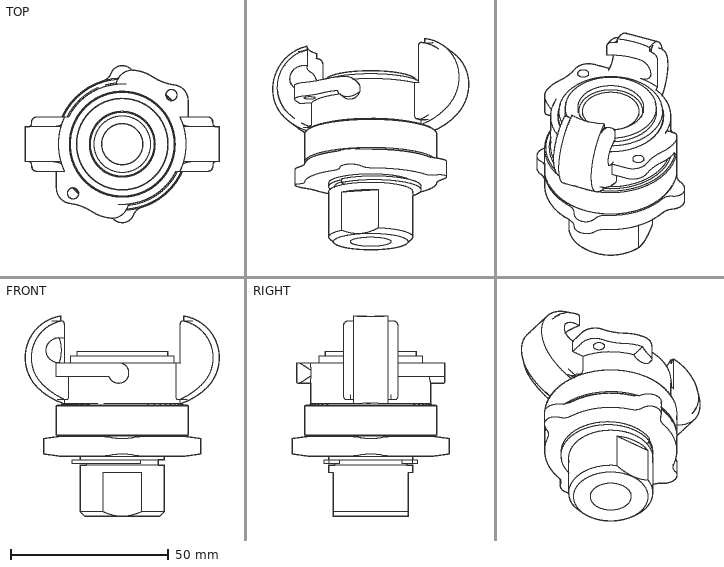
import cadquery as cq
import math


HEIGHT = 63.85
EPS = 0.65

SHANK_R = 13.4
SHANK_CHAMFER = 1.55
SHANK_BORE_R = 6.5
TUBE_BORE_R = 9.0
BORE_CONE_BOTTOM = 19.15
BORE_CONE_TOP = 20.6
SHANK_HEAD_R = 33.0 / 2
SHANK_TOP = 51.1
FLAT_HALF_WIDTH = 11.95
FLAT_TOP = 14.0
GROOVE_R = 11.5
GROOVE_BOTTOM = 16.35
GROOVE_TOP = 18.0

SNAP_RING_R = 14.95
SNAP_RING_OFFSET = -1.15
SNAP_RING_BOTTOM = 16.8
SNAP_RING_OPENING_X = 5.75

NUT_R = 21.1
NUT_BOTTOM = 19.1
NUT_TOP = 25.6
NUT_TIP_R = 25.0
NUT_FACE_R = 19.5
NUT_BEVEL_HEIGHT = 0.75
LOBE_R = 3.8
LOBE_ROOT_R = 4.0
LOBE_COUNT = 4

COLLAR_R = 21.1
COLLAR_TOP = 35.5
COLLAR_CHAMFER = 0.4
BODY_R = 19.15
BODY_ROOT_ROUND = 0.45
BODY_TOP = 48.9
SHOULDER_Z = 44.5
BORE_R = 33.25 / 2
BORE_CHAMFER = 0.25

EAR_SIDE_X = 21.0
EAR_CORNER_Y = 13.9
EAR_CORNER_END = (16.6, 18.9)
EAR_WAVE_MIDDLE = (9.7, 21.45)
EAR_PEAK = (3.8, 23.55)
EAR_NOSE_CENTRE = (3.3, 18.2)
EAR_NOSE_R = 5.35
EAR_BOTTOM = 44.5
KNOB_BOTTOM = 42.4
KNOB_CENTRE_X = 1.15
EAR_HOLE_R = 3.5 / 2
EAR_HOLE_XY = 15.65

CLAW_REACH = 61.9 / 2
CLAW_ARC_R = 13.5
CLAW_TOP_X = 19.15
CLAW_LOWER_ANGLE = 45.0
CLAW_FOOT_X = 18.5
CLAW_FOOT_Z = 35.9
CLAW_INNER_R = 20.3
BAND_HALF_WIDTH = 5.55
RIB_HALF_WIDTH = 17.4 / 2
BAND_CORNER_X = math.sqrt(CLAW_INNER_R**2 - BAND_HALF_WIDTH**2)
CLAW_ARC_Z = HEIGHT - math.sqrt(CLAW_ARC_R**2 - (BAND_CORNER_X - CLAW_REACH + CLAW_ARC_R) ** 2)
RIB_REACH = 28.9
RIB_ARC_R = 11.95
RIB_FOOT_Z = 37.3
RIB_ROUND = 1.8
RIB_ROOT_ROUND = 0.95

CLAW_GROOVE_R = 3.95
CLAW_GROOVE_CENTRE_R = 21.85
CLAW_GROOVE_END_ANGLE = 6.0
CLAW_GROOVE_SWEEP = 50.0

SEAL_INNER_R = 21.0 / 2
SEAL_OUTER_R = 29.0 / 2
SEAL_BOTTOM = 47.9
SEAL_TOP = 52.55
SEAL_SEAT_INNER_R = 10.15
SEAL_SEAT_OUTER_R = 14.6


def disc(radius, bottom, top):
    """Cylinder about Z between two heights."""
    return cq.Workplane("XY").workplane(offset=bottom).circle(radius).extrude(top - bottom)


def ring(inner_radius, outer_radius, bottom, top):
    """Ring about Z between two heights."""
    return disc(outer_radius, bottom, top).cut(disc(inner_radius, bottom, top))


def half_turn(shape):
    """Copy turned 180 degrees about Z."""
    return shape.rotate((0, 0, 0), (0, 0, 1), 180)


def make_shank():
    shank = (
        cq.Workplane("XZ")
        .moveTo(SHANK_BORE_R, 0)
        .lineTo(SHANK_R - SHANK_CHAMFER, 0)
        .lineTo(SHANK_R, SHANK_CHAMFER)
        .lineTo(SHANK_R, GROOVE_BOTTOM)
        .lineTo(GROOVE_R, GROOVE_BOTTOM)
        .lineTo(GROOVE_R, GROOVE_TOP)
        .lineTo(SHANK_R, GROOVE_TOP)
        .lineTo(SHANK_R, SHOULDER_Z)
        .lineTo(SHANK_HEAD_R, SHOULDER_Z)
        .lineTo(SHANK_HEAD_R, SHANK_TOP)
        .lineTo(TUBE_BORE_R, SHANK_TOP)
        .lineTo(TUBE_BORE_R, BORE_CONE_TOP)
        .lineTo(SHANK_BORE_R, BORE_CONE_BOTTOM)
        .close()
        .revolve()
    )
    between_flats = cq.Workplane("XY").rect(4 * SHANK_R, 2 * FLAT_HALF_WIDTH).extrude(FLAT_TOP)
    shank = shank.cut(disc(2 * SHANK_R, 0, FLAT_TOP).cut(between_flats))
    return shank.cut(ring(SEAL_SEAT_INNER_R, SEAL_SEAT_OUTER_R, SEAL_BOTTOM, SHANK_TOP))


def make_snap_ring():
    snap_ring = disc(SNAP_RING_R, SNAP_RING_BOTTOM, GROOVE_TOP).translate((SNAP_RING_OFFSET, 0, 0))
    opening = (
        cq.Workplane("XY")
        .workplane(offset=SNAP_RING_BOTTOM)
        .moveTo(SNAP_RING_OPENING_X + SNAP_RING_R, 0)
        .rect(2 * SNAP_RING_R, 2 * SNAP_RING_R)
        .extrude(GROOVE_TOP - SNAP_RING_BOTTOM)
    )
    return snap_ring.cut(disc(GROOVE_R, SNAP_RING_BOTTOM, GROOVE_TOP)).cut(opening)


def make_nut_lobe():
    """Lobe pointing to +X: a round tip, joined to the rim by a hollow round on each side."""
    tip_centre = NUT_TIP_R - LOBE_R
    root_distance = NUT_R + LOBE_ROOT_R
    root_x = (root_distance**2 + tip_centre**2 - (LOBE_R + LOBE_ROOT_R) ** 2) / (2 * tip_centre)
    root_y = math.sqrt(root_distance**2 - root_x**2)
    rim_share = NUT_R / root_distance
    rim = (root_x * rim_share, root_y * rim_share)
    tip_share = LOBE_R / (LOBE_R + LOBE_ROOT_R)
    side = (tip_centre + (root_x - tip_centre) * tip_share, root_y * tip_share)
    to_middle = (rim[0] + side[0] - 2 * root_x, rim[1] + side[1] - 2 * root_y)
    reach = LOBE_ROOT_R / math.hypot(*to_middle)
    root_middle = (root_x + to_middle[0] * reach, root_y + to_middle[1] * reach)
    return (
        cq.Workplane("XY")
        .workplane(offset=NUT_BOTTOM)
        .moveTo(SHANK_R + EPS, 0)
        .lineTo(*rim)
        .threePointArc(root_middle, side)
        .threePointArc((NUT_TIP_R, 0), (side[0], -side[1]))
        .threePointArc((root_middle[0], -root_middle[1]), (rim[0], -rim[1]))
        .close()
        .extrude(NUT_TOP - NUT_BOTTOM)
    )


def make_nut():
    nut = disc(NUT_R, NUT_BOTTOM, NUT_TOP)
    lobe = make_nut_lobe()
    for index in range(LOBE_COUNT):
        nut = nut.union(lobe.rotate((0, 0, 0), (0, 0, 1), index * 360 / LOBE_COUNT))
    bevelled_blank = (
        cq.Workplane("XZ")
        .moveTo(SHANK_R, NUT_BOTTOM)
        .lineTo(NUT_FACE_R, NUT_BOTTOM)
        .lineTo(NUT_TIP_R, NUT_BOTTOM + NUT_BEVEL_HEIGHT)
        .lineTo(NUT_TIP_R, NUT_TOP - NUT_BEVEL_HEIGHT)
        .lineTo(NUT_FACE_R, NUT_TOP)
        .lineTo(SHANK_R, NUT_TOP)
        .close()
        .revolve()
    )
    return nut.intersect(bevelled_blank)


def make_ear():
    """Ear on the +Y side, with a knob that hangs lower and rounds off at the nose."""
    nose_x = EAR_NOSE_CENTRE[0] - EAR_NOSE_R
    nose_y = EAR_NOSE_CENTRE[1]
    nose_diagonal = EAR_NOSE_R * math.sqrt(0.5)
    nose_middle = (EAR_NOSE_CENTRE[0] - nose_diagonal, nose_y + nose_diagonal)
    plan = (
        cq.Workplane("XY")
        .workplane(offset=KNOB_BOTTOM)
        .moveTo(BORE_R, 0)
        .lineTo(EAR_SIDE_X, 0)
        .lineTo(EAR_SIDE_X, EAR_CORNER_Y)
        .tangentArcPoint(EAR_CORNER_END, relative=False)
        .tangentArcPoint(EAR_WAVE_MIDDLE, relative=False)
        .tangentArcPoint(EAR_PEAK, relative=False)
        .threePointArc(nose_middle, (nose_x, nose_y))
        .lineTo(nose_x, BORE_R)
        .close()
        .extrude(BODY_TOP - KNOB_BOTTOM)
    )
    knob_r = (BODY_TOP - KNOB_BOTTOM) / 2
    plate = (
        cq.Workplane("XZ")
        .moveTo(KNOB_CENTRE_X, EAR_BOTTOM)
        .lineTo(EAR_SIDE_X, EAR_BOTTOM)
        .lineTo(EAR_SIDE_X, BODY_TOP)
        .lineTo(KNOB_CENTRE_X, BODY_TOP)
        .close()
        .extrude(-2 * EAR_SIDE_X)
    )
    knob = (
        cq.Workplane("XZ")
        .moveTo(KNOB_CENTRE_X, KNOB_BOTTOM + knob_r)
        .circle(knob_r)
        .extrude(-2 * EAR_SIDE_X)
    )
    return plan.intersect(plate.union(knob))


def claw_outline(reach, arc_r, foot_z, half_width):
    """Plate in the XZ plane for the claw at +X: a big arc that runs into a flatter arc down to the foot."""
    centre_x = reach - arc_r
    angle = math.radians(CLAW_LOWER_ANGLE)
    lower = (centre_x + arc_r * math.cos(angle), CLAW_ARC_Z - arc_r * math.sin(angle))
    top_z = CLAW_ARC_Z + math.sqrt(arc_r**2 - (CLAW_TOP_X - centre_x) ** 2)
    inner_top = (CLAW_TOP_X, top_z)
    return (
        cq.Workplane("XZ")
        .workplane(offset=-half_width)
        .moveTo(*inner_top)
        .threePointArc((reach, CLAW_ARC_Z), lower)
        .tangentArcPoint((CLAW_FOOT_X, foot_z), relative=False)
        .lineTo(BORE_R, foot_z)
        .lineTo(BORE_R, top_z)
        .close()
        .extrude(2 * half_width)
    )


def make_claw_groove():
    """Groove inside the +X claw: open at its +Y side, with a rounded blind end at its -Y side."""
    centre_z = BODY_TOP + CLAW_GROOVE_R
    inner_r = CLAW_INNER_R - 2 * EPS
    start = (
        cq.Workplane("XZ")
        .moveTo(inner_r, BODY_TOP)
        .lineTo(CLAW_GROOVE_CENTRE_R, BODY_TOP)
        .threePointArc(
            (CLAW_GROOVE_CENTRE_R + CLAW_GROOVE_R, centre_z),
            (CLAW_GROOVE_CENTRE_R, centre_z + CLAW_GROOVE_R),
        )
        .lineTo(inner_r, centre_z + CLAW_GROOVE_R)
        .close()
    )
    sweep = start.revolve(CLAW_GROOVE_SWEEP, (0, 0, 0), (0, 1, 0))
    ball = cq.Workplane("XY").sphere(CLAW_GROOVE_R).translate((CLAW_GROOVE_CENTRE_R, 0, centre_z))
    mouth = (
        cq.Workplane("YZ")
        .workplane(offset=inner_r)
        .moveTo(0, centre_z)
        .circle(CLAW_GROOVE_R)
        .extrude(CLAW_GROOVE_CENTRE_R - inner_r)
    )
    groove = sweep.union(ball).union(mouth)
    return groove.rotate((0, 0, 0), (0, 0, 1), -CLAW_GROOVE_END_ANGLE)


def make_claw():
    """Claw at +X: a middle band between two lower ribs with rounded edges."""
    band = claw_outline(CLAW_REACH, CLAW_ARC_R, CLAW_FOOT_Z, BAND_HALF_WIDTH)
    ribs = claw_outline(RIB_REACH, RIB_ARC_R, RIB_FOOT_Z, RIB_HALF_WIDTH)
    outer_arcs = cq.selectors.BoxSelector(
        (CLAW_FOOT_X, -2 * RIB_HALF_WIDTH, 0), (2 * CLAW_REACH, 2 * RIB_HALF_WIDTH, 2 * BODY_TOP)
    )
    ribs = ribs.faces("<Y or >Y").edges(outer_arcs).fillet(RIB_ROUND)
    claw = band.union(ribs)
    rib_arc_centre_x = RIB_REACH - RIB_ARC_R
    for side_y in (-BAND_HALF_WIDTH, BAND_HALF_WIDTH):
        side_edges = cq.selectors.BoxSelector(
            (CLAW_TOP_X + EPS, side_y - EPS, 0), (CLAW_REACH, side_y + EPS, HEIGHT)
        )
        rib_root = cq.selectors.NearestToPointSelector((rib_arc_centre_x, side_y, CLAW_ARC_Z))
        claw = claw.edges(side_edges).edges(rib_root).fillet(RIB_ROOT_ROUND)
    inside = disc(CLAW_INNER_R, BODY_TOP, 2 * BODY_TOP)
    return claw.cut(inside)


def make_head_blank():
    """Collar and body, turned about Z, with a hollow round where the body stands on the collar."""
    root_diagonal = BODY_ROOT_ROUND * math.sqrt(0.5)
    root_centre = (BODY_R + BODY_ROOT_ROUND, COLLAR_TOP + BODY_ROOT_ROUND)
    return (
        cq.Workplane("XZ")
        .moveTo(0, NUT_TOP)
        .lineTo(COLLAR_R - COLLAR_CHAMFER, NUT_TOP)
        .lineTo(COLLAR_R, NUT_TOP + COLLAR_CHAMFER)
        .lineTo(COLLAR_R, COLLAR_TOP - COLLAR_CHAMFER)
        .lineTo(COLLAR_R - COLLAR_CHAMFER, COLLAR_TOP)
        .lineTo(root_centre[0], COLLAR_TOP)
        .threePointArc(
            (root_centre[0] - root_diagonal, root_centre[1] - root_diagonal),
            (BODY_R, root_centre[1]),
        )
        .lineTo(BODY_R, BODY_TOP)
        .lineTo(0, BODY_TOP)
        .close()
        .revolve()
    )


def make_head_bore():
    """Space for the shank: its stem, its wider head, and a chamfer at the mouth."""
    return (
        cq.Workplane("XZ")
        .moveTo(0, NUT_TOP)
        .lineTo(SHANK_R, NUT_TOP)
        .lineTo(SHANK_R, SHOULDER_Z)
        .lineTo(BORE_R, SHOULDER_Z)
        .lineTo(BORE_R, BODY_TOP - BORE_CHAMFER)
        .lineTo(BORE_R + BORE_CHAMFER, BODY_TOP)
        .lineTo(0, BODY_TOP)
        .close()
        .revolve()
    )


def make_head():
    ear = make_ear()
    claw = make_claw()
    groove = make_claw_groove()
    head = make_head_blank()
    for added in (ear, claw):
        head = head.union(added).union(half_turn(added))
    ear_hole = disc(EAR_HOLE_R, KNOB_BOTTOM, BODY_TOP).translate((EAR_HOLE_XY, EAR_HOLE_XY, 0))
    for removed in (groove, ear_hole):
        head = head.cut(removed).cut(half_turn(removed))
    return head.cut(make_head_bore())


def make_seal():
    return ring(SEAL_INNER_R, SEAL_OUTER_R, SEAL_BOTTOM, SEAL_TOP)


shank = make_shank()
snap_ring = make_snap_ring()
nut = make_nut()
head = make_head()
seal = make_seal()

result = cq.Compound.makeCompound([shank.val(), snap_ring.val(), nut.val(), head.val(), seal.val()])